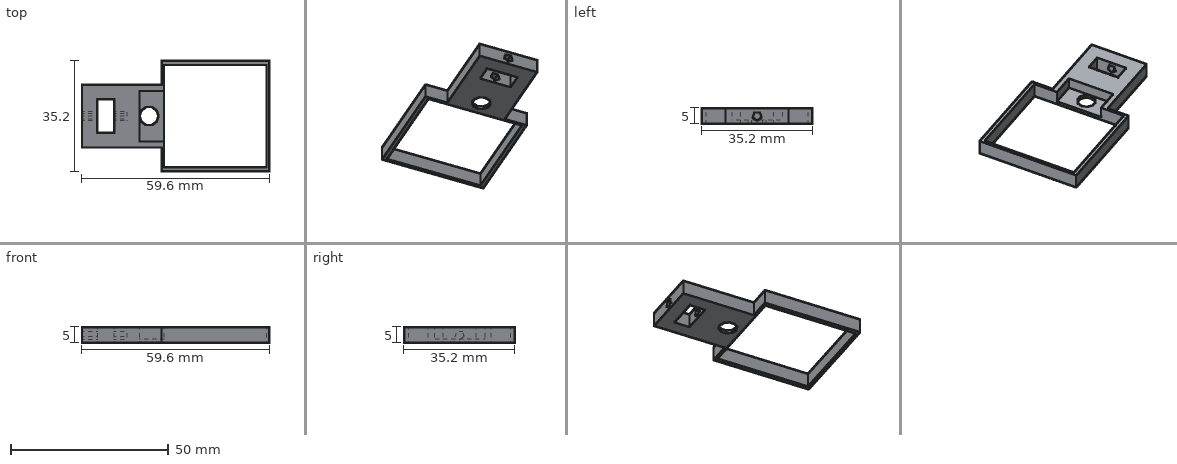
import cadquery as cq
import math

total_length = 59.6
height = 5.0

tab_length = 25.4
tab_width = 20.0

frame_width = 35.2
frame_length = total_length - tab_length
frame_side_wall = 1.4
frame_tab_wall = 0.8
frame_end_wall = 0.95
opening_start = tab_length + frame_tab_wall
opening_length = frame_length - frame_tab_wall - frame_end_wall
opening_width = frame_width - 2 * frame_side_wall

window_start = 4.9
window_length = 5.35
window_width = 10.55

pocket_start = 18.35
pocket_width = 16.1
pocket_floor = 1.2

floor_hole_sides = 10
floor_hole_radius = 3.0
floor_hole_x = pocket_start + floor_hole_radius

bore_sides = 5
bore_radius = 1.5
bore_depth = (window_start + window_length + pocket_start) / 2


def block(start_x, length, width, bottom=0.0):
    """Box from start_x along +X, centred on Y, reaching from bottom up to the top face."""
    return (
        cq.Workplane("XY")
        .box(length, width, height - bottom, centered=(False, True, False))
        .translate((start_x, 0, bottom))
    )


def polygon_points(sides, radius, first_angle):
    """Corners of a regular polygon about the origin, starting at first_angle in degrees."""
    angles = [math.radians(first_angle + 360 * i / sides) for i in range(sides)]
    return [(radius * math.cos(a), radius * math.sin(a)) for a in angles]


def floor_hole():
    """Vertical prism with one corner pointing along +X."""
    corners = polygon_points(floor_hole_sides, floor_hole_radius, 0)
    return cq.Workplane("XY").polyline(corners).close().extrude(height).translate((floor_hole_x, 0, 0))


def bore():
    """Prism along X at mid-height with one corner pointing down."""
    corners = polygon_points(bore_sides, bore_radius, -90)
    return cq.Workplane("YZ").polyline(corners).close().extrude(bore_depth).translate((0, 0, height / 2))


tab = block(0, tab_length, tab_width)
frame = block(tab_length, frame_length, frame_width)
opening = block(opening_start, opening_length, opening_width)
window = block(window_start, window_length, window_width)
pocket = block(pocket_start, opening_start - pocket_start, pocket_width, pocket_floor)

result = tab.union(frame)
for cutter in (opening, window, pocket, floor_hole(), bore()):
    result = result.cut(cutter)